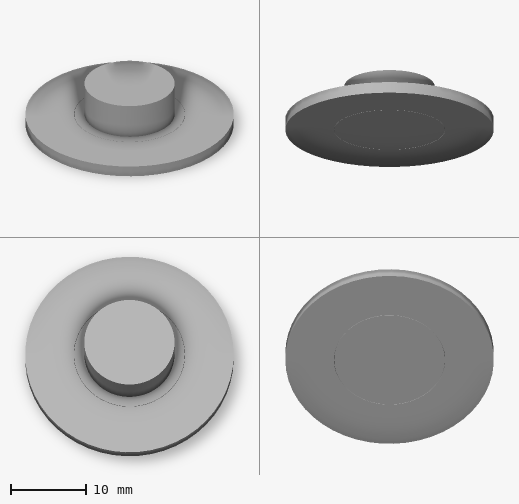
import cadquery as cq

ring_diameter = 27.7
bore_diameter = 14.8
flange_diameter = 14.7
boss_diameter = 12.0
plate_thickness = 1.5
total_height = 6.2


def make_ring():
    """Flat outer ring with a clearance bore for the button flange."""
    return (
        cq.Workplane("XY")
        .circle(ring_diameter / 2)
        .circle(bore_diameter / 2)
        .extrude(plate_thickness)
    )


def make_button():
    """Round button: a flange flush with the ring and a taller boss above it."""
    flange = cq.Workplane("XY").circle(flange_diameter / 2).extrude(plate_thickness)
    boss = cq.Workplane("XY").circle(boss_diameter / 2).extrude(total_height)
    return flange.union(boss)


ring = make_ring()
button = make_button()

result = cq.Compound.makeCompound([ring.val(), *button.solids().vals()])